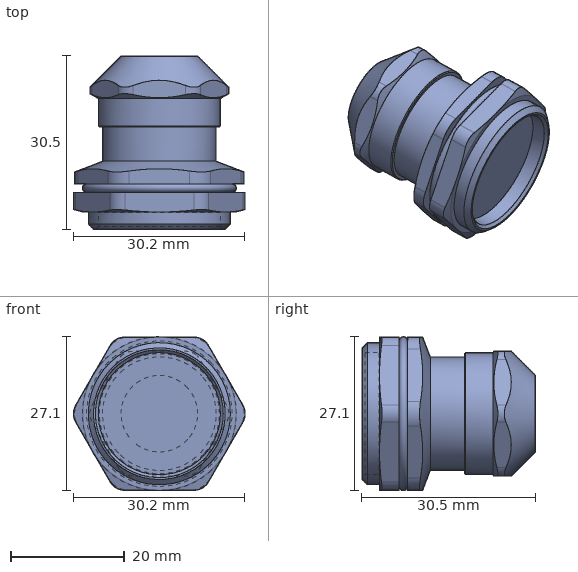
import cadquery as cq
import math

total_length = 30.5
rim_chamfer = 0.9
nut_front = 3.05
nut_back = 6.5
body_hex_front = 8.0
neck_start = 12.0
collar_start = 18.03
cap_start = 23.03

rim_diameter = 25.0
neck_diameter = 20.0
collar_diameter = 21.5
cap_end_diameter = 13.48
seal_diameter = 27.1
collar_chamfer = 0.18

recess_mouth_diameter = 22.5
recess_diameter = 21.5
recess_depth = 3.0

large_flats = 27.0
cap_flats = 22.0
corner_radius = 3.0
body_corner_radius = 4.27

nut_chamfer_angle = 15.0
body_cone_angle = 21.0
cap_front_angle = 30.0
cap_back_angle = 45.0


def revolve_profile(points):
    """Revolve a (radius, Y) outline about the Y axis."""
    return cq.Workplane("XY").polyline(points).close().revolve(360, (0, 0, 0), (0, 1, 0))


def cylinder(diameter, start, end):
    radius = diameter / 2
    return revolve_profile([(0, start), (radius, start), (radius, end), (0, end)])


def hex_prism(flats, corner_radius, start, end):
    """Hexagon with flats facing +Z and -Z and rounded corners."""
    corner_diameter = flats / math.cos(math.radians(30))
    return (
        cq.Workplane("XZ", origin=(0, start, 0))
        .polygon(6, corner_diameter)
        .extrude(start - end)
        .edges("|Y")
        .fillet(corner_radius)
    )


def cone_rise(angle, inner_radius, outer_radius):
    """Axial distance a cone covers between two radii."""
    return (outer_radius - inner_radius) * math.tan(math.radians(angle))


def make_rim():
    return cylinder(rim_diameter, 0, nut_back).faces("<Y").chamfer(rim_chamfer)


def make_lock_nut():
    face_radius = large_flats / 2
    outer_radius = large_flats / math.sqrt(3)
    chamfer_end = nut_front + cone_rise(nut_chamfer_angle, face_radius, outer_radius)
    envelope = revolve_profile([
        (0, nut_front),
        (face_radius, nut_front),
        (outer_radius, chamfer_end),
        (outer_radius, total_length),
        (0, total_length),
    ])
    return hex_prism(large_flats, corner_radius, nut_front, nut_back).intersect(envelope)


def make_seal():
    """Sealing ring with a fully rounded outer edge, filled to the axis."""
    ring_radius = (body_hex_front - nut_back) / 2
    center_radius = seal_diameter / 2 - ring_radius
    return (
        cq.Workplane("XY")
        .moveTo(0, nut_back)
        .lineTo(center_radius, nut_back)
        .threePointArc((seal_diameter / 2, nut_back + ring_radius), (center_radius, body_hex_front))
        .lineTo(0, body_hex_front)
        .close()
        .revolve(360, (0, 0, 0), (0, 1, 0))
    )


def make_body_hex():
    neck_radius = neck_diameter / 2
    outer_radius = large_flats / math.sqrt(3)
    cone_end = neck_start - cone_rise(body_cone_angle, neck_radius, outer_radius)
    envelope = revolve_profile([
        (0, body_hex_front),
        (outer_radius, body_hex_front),
        (outer_radius, cone_end),
        (neck_radius, neck_start),
        (0, neck_start),
    ])
    return hex_prism(large_flats, body_corner_radius, body_hex_front, neck_start).intersect(envelope)


def make_neck():
    return cylinder(neck_diameter, neck_start, collar_start)


def make_collar():
    return cylinder(collar_diameter, collar_start, cap_start).faces("<Y").chamfer(collar_chamfer)


def make_cap():
    front_radius = collar_diameter / 2
    back_radius = cap_end_diameter / 2
    outer_radius = cap_flats / math.sqrt(3)
    front_cone_end = cap_start + cone_rise(cap_front_angle, front_radius, outer_radius)
    back_cone_start = total_length - cone_rise(cap_back_angle, back_radius, outer_radius)
    envelope = revolve_profile([
        (0, cap_start),
        (front_radius, cap_start),
        (outer_radius, front_cone_end),
        (outer_radius, back_cone_start),
        (back_radius, total_length),
        (0, total_length),
    ])
    return hex_prism(cap_flats, corner_radius, cap_start, total_length).intersect(envelope)


def make_recess():
    mouth_radius = recess_mouth_diameter / 2
    bore_radius = recess_diameter / 2
    mouth_chamfer = mouth_radius - bore_radius
    return revolve_profile([
        (0, 0),
        (mouth_radius, 0),
        (bore_radius, mouth_chamfer),
        (bore_radius, recess_depth),
        (0, recess_depth),
    ])


result = (
    make_rim()
    .union(make_lock_nut())
    .union(make_seal())
    .union(make_body_hex())
    .union(make_neck())
    .union(make_collar())
    .union(make_cap())
    .cut(make_recess())
)